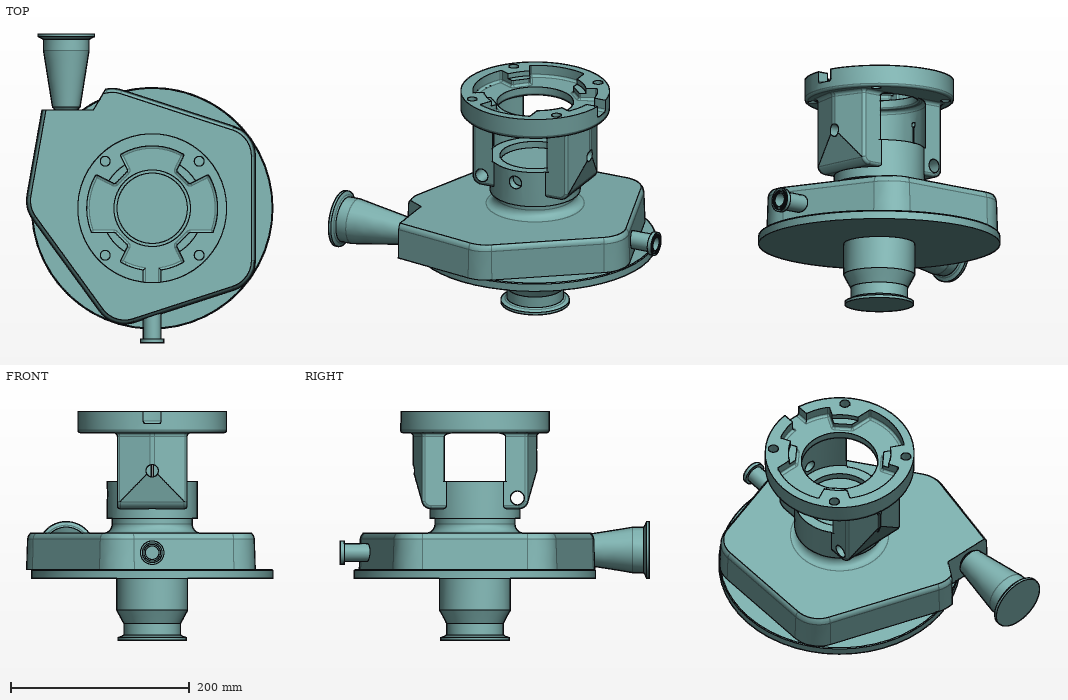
import cadquery as cq
import math

plate_top = 9.7
volute_top = 50.5
groove_bottom = 60.5
hub_bottom = 67.0
arm_bottom = 77.7
hub_top = 108.5
mount_bottom = 162.7
mount_top = 186.5

plate_radius = 135.0
plate_edge_chamfer = 1.0

volute_apothem = 115.5
volute_corner_radius = 35.0
trimmed_corner_radius = 9.7
volute_draft = 2
volute_bevel_height = 2.8
volute_bevel_width = 3.0
volute_bevel_radius = 9.0
outlet_face_y = 110.0
outlet_face_left_x = -123.5
crest_x = -42.5
shoulder_foot_x = -65.5
shoulder_head_x = -45
shoulder_angle = 60

rim_thickness = 3.0
rim_bevel = 1.7
collar_width = 2.0
collar_height = 1.5

inlet_end_z = -69.5
inlet_radius = 39.7
inlet_cone_top_z = -35.5
inlet_cone_bottom_z = -50.5
inlet_neck_radius = 31.8
inlet_rim_radius = 38.5

outlet_x = -96.0
outlet_end_y = 195.0
outlet_rim_radius = 31.8
outlet_neck_radius = 25.5
outlet_cone_start_y = 176.2
outlet_cone_end_y = 113.3
outlet_cone_small_radius = 15.5
outlet_throat_radius = 12.5

drain_end_y = -150.5
drain_z = 28.7
drain_radius = 10.0
drain_rim_radius = 13.0
drain_rim_thickness = 4.5
drain_bore_radius = 7.5
drain_bore_end_y = -124.5
drain_groove_inner_radius = 9.5
drain_groove_outer_radius = 11.0
drain_groove_depth = 1.0

hub_radius = 50.5
neck_radius = 45
hub_bore_radius = 39.5
hub_bore_depth = 7.5
hub_hole_depth = 10.5
hub_hole_radius = 7.5
hub_hole_z = 94.3

arm_half_width = 39.0
arm_inner_radius = 51.8
arm_ridge_y = 69
arm_ridge_half_width = 2.5
arm_side_y = 58.5
arm_apex_z = 120.2
arm_toe_y = 57.0
arm_toe_radius = 10.5
arm_edge_fillet = 3.5
arm_top_fillet = 4.0
front_hole_radius = 7
back_slot_width = 2.0
back_slot_bottom_z = 110.5
back_slot_top_z = 143.7
back_eye_radius = 2.8
side_hole_radius = 7.5
side_hole_y = 47.5
side_hole_z = 90

mount_radius = 83.3
mount_bore_radius = 43.0
mount_bore_fillet = 2.0
mount_edge_fillet = 3.0
pocket_side_radius = 73.2
pocket_end_radius = 69.8
pocket_depth = 13.5
pocket_floor_fillet = 2.8
lug_tip_distance = 48.7
lug_root_angle = 31
lug_tip_angle = 33
lower_lug_edge_y = -27.3
lug_edge_radius = 2.0
register_radius = 57.5
register_depth = 6.0
key_slot_half_width = 10.0
bolt_circle_radius = 74.3
bolt_hole_radius = 5.5

pick_margin = 0.5


def z_cylinder(radius, bottom, top):
    """Cylinder on the pump axis."""
    return cq.Workplane("XY", origin=(0, 0, bottom)).circle(radius).extrude(top - bottom)


def y_cylinder(radius, z, start_y, end_y):
    """Cylinder along +Y on the plane x = 0."""
    return cq.Workplane("XZ", origin=(0, start_y, z)).circle(radius).extrude(start_y - end_y)


def near_height(z, reach):
    """Selector for edges centred at height z and within reach of the axis in X and Y."""
    return cq.selectors.BoxSelector(
        (-reach, -reach, z - pick_margin),
        (reach, reach, z + pick_margin),
    )


def ferrule_profile(end, direction, rim_radius, pipe_radius):
    """Half-section points (radius, position) of a clamp ferrule, from the pipe end inwards."""
    rim_edge = end + direction * rim_thickness
    bevel_edge = rim_edge + direction * rim_bevel
    return [
        (0, end),
        (rim_radius, end),
        (rim_radius, rim_edge),
        (pipe_radius + collar_width, bevel_edge),
        (pipe_radius, bevel_edge + direction * collar_height),
    ]


def make_plate():
    return z_cylinder(plate_radius, 0, plate_top).faces(">Z").edges().chamfer(plate_edge_chamfer)


def make_volute():
    """Drafted casing with rounded corners, trimmed back to the outlet face."""
    corner_distance = volute_apothem / math.cos(math.radians(36))

    def corner(angle):
        turn = math.radians(angle)
        return (corner_distance * math.cos(turn), corner_distance * math.sin(turn))

    left = corner(180)
    wall_top_y = outlet_face_y + trimmed_corner_radius
    wall_lean = (outlet_face_left_x - left[0]) / outlet_face_y
    wall_top = (left[0] + wall_lean * wall_top_y, wall_top_y)
    normal = math.radians(72)
    crest = (crest_x, (volute_apothem - crest_x * math.cos(normal)) / math.sin(normal))

    outline = [corner(36), crest, wall_top, left, corner(252), corner(324)]
    trimmed_corner = cq.selectors.NearestToPointSelector((*wall_top, 0))
    sketch = (
        cq.Sketch()
        .polygon(outline + outline[:1])
        .vertices(-trimmed_corner)
        .fillet(volute_corner_radius)
        .reset()
        .vertices(trimmed_corner)
        .fillet(trimmed_corner_radius)
    )
    casing = (
        cq.Workplane("XY", origin=(0, 0, plate_top))
        .placeSketch(sketch)
        .extrude(volute_top - plate_top, taper=volute_draft)
        .faces(">Z")
        .edges()
        .chamfer(volute_bevel_height, volute_bevel_width)
        .edges(near_height(volute_top - volute_bevel_height, 2 * plate_radius))
        .fillet(volute_bevel_radius)
    )
    rise = (shoulder_head_x - shoulder_foot_x) * math.tan(math.radians(shoulder_angle))
    beyond_left_x = -plate_radius - inlet_radius
    shoulder = (
        cq.Workplane("XY")
        .moveTo(beyond_left_x, outlet_face_y)
        .lineTo(shoulder_foot_x, outlet_face_y)
        .lineTo(shoulder_head_x, outlet_face_y + rise)
        .lineTo(beyond_left_x, outlet_face_y + rise)
        .close()
        .extrude(mount_top)
    )
    return casing.cut(shoulder)


def make_inlet():
    section = ferrule_profile(inlet_end_z, 1, inlet_rim_radius, inlet_neck_radius) + [
        (inlet_neck_radius, inlet_cone_bottom_z),
        (inlet_radius, inlet_cone_top_z),
        (inlet_radius, plate_top),
        (0, plate_top),
    ]
    return cq.Workplane("XZ").polyline(section).close().revolve(360, (0, 0), (0, 1))


def make_outlet():
    root_y = outlet_face_y - outlet_throat_radius
    section = ferrule_profile(outlet_end_y, -1, outlet_rim_radius, outlet_neck_radius) + [
        (outlet_neck_radius, outlet_cone_start_y),
        (outlet_cone_small_radius, outlet_cone_end_y),
        (outlet_throat_radius, outlet_face_y),
        (outlet_throat_radius, root_y),
        (0, root_y),
    ]
    return (
        cq.Workplane("XY", origin=(outlet_x, 0, outlet_rim_radius))
        .polyline(section)
        .close()
        .revolve(360, (0, 0), (0, 1))
    )


def make_drain():
    rim = y_cylinder(drain_rim_radius, drain_z, drain_end_y, drain_end_y + drain_rim_thickness)
    pipe = y_cylinder(drain_radius, drain_z, drain_end_y, -volute_apothem + drain_radius)
    return rim.union(pipe)


def make_hub():
    """Hub above a narrower neck that flares out onto the volute."""
    flare = groove_bottom - volute_top
    return (
        cq.Workplane("XZ")
        .moveTo(0, plate_top)
        .lineTo(neck_radius + flare, plate_top)
        .lineTo(neck_radius + flare, volute_top)
        .radiusArc((neck_radius, groove_bottom), flare)
        .lineTo(neck_radius, hub_bottom)
        .lineTo(hub_radius, hub_bottom)
        .lineTo(hub_radius, hub_top)
        .lineTo(0, hub_top)
        .close()
        .revolve(360, (0, 0), (0, 1))
    )


def make_arm():
    """Arm on the +Y side: a V-faced column with a sloped, rounded toe."""
    half_plan = [
        (arm_half_width, 0),
        (arm_half_width, arm_side_y),
        (arm_ridge_half_width, arm_ridge_y),
    ]
    mirrored_plan = [(-x, y) for x, y in reversed(half_plan)]
    column = (
        cq.Workplane("XY", origin=(0, 0, arm_bottom))
        .polyline(half_plan + mirrored_plan)
        .close()
        .extrude(mount_bottom - arm_bottom)
    )
    for side in (-1, 1):
        column = column.edges(
            cq.selectors.NearestToPointSelector((side * arm_half_width, arm_side_y, hub_top))
        ).fillet(arm_edge_fillet)
    side_profile = (
        cq.Workplane("YZ", origin=(-arm_half_width, 0, 0))
        .moveTo(0, arm_bottom)
        .lineTo(arm_toe_y, arm_bottom)
        .lineTo(arm_ridge_y, arm_apex_z)
        .lineTo(arm_ridge_y, mount_bottom)
        .lineTo(0, mount_bottom)
        .close()
        .extrude(2 * arm_half_width)
        .edges(cq.selectors.NearestToPointSelector((0, arm_toe_y, arm_bottom)))
        .fillet(arm_toe_radius)
        .faces("<Z")
        .edges("|Y")
        .fillet(arm_edge_fillet)
    )
    hollow = z_cylinder(arm_inner_radius, hub_top, mount_bottom)
    return column.intersect(side_profile).cut(hollow)


def make_pocket():
    """Recess in the flange top that leaves four lugs standing, plus the key slot."""
    floor = mount_top - pocket_depth
    root = math.radians(lug_root_angle)
    tip = math.radians(lug_tip_angle)
    tip_reach = lug_tip_distance / math.cos(math.radians(45) - tip)
    tip_far = tip_reach * math.cos(tip)
    tip_near = tip_reach * math.sin(tip)
    lower_tip_x = tip_far + tip_near + lower_lug_edge_y

    def arc_x(y):
        return math.sqrt(pocket_side_radius**2 - y**2)

    side_y = pocket_side_radius * math.sin(root)
    end_x = pocket_end_radius * math.sin(root)
    end_y = pocket_end_radius * math.cos(root)
    pocket = (
        cq.Workplane("XY", origin=(0, 0, floor))
        .moveTo(-end_x, end_y)
        .threePointArc((0, pocket_end_radius), (end_x, end_y))
        .lineTo(tip_near, tip_far)
        .lineTo(tip_far, tip_near)
        .lineTo(arc_x(side_y), side_y)
        .threePointArc((pocket_side_radius, 0), (arc_x(lower_lug_edge_y), lower_lug_edge_y))
        .lineTo(lower_tip_x, lower_lug_edge_y)
        .lineTo(tip_near, -tip_far)
        .lineTo(end_x, -end_y)
        .threePointArc((0, -pocket_end_radius), (-end_x, -end_y))
        .lineTo(-tip_near, -tip_far)
        .lineTo(-lower_tip_x, lower_lug_edge_y)
        .lineTo(-arc_x(lower_lug_edge_y), lower_lug_edge_y)
        .threePointArc((-pocket_side_radius, 0), (-arc_x(side_y), side_y))
        .lineTo(-tip_far, tip_near)
        .lineTo(-tip_near, tip_far)
        .close()
        .extrude(pocket_depth)
    )
    key_slot = (
        cq.Workplane("XY", origin=(0, -mount_radius, floor))
        .rect(2 * key_slot_half_width, 2 * (mount_radius - lug_tip_distance))
        .extrude(pocket_depth)
    )
    pocket = pocket.edges("|Z").fillet(lug_edge_radius)
    pocket = pocket.union(key_slot)
    pocket = pocket.faces("<Z").edges().fillet(pocket_floor_fillet)
    return pocket.union(z_cylinder(register_radius, mount_top - register_depth, mount_top))


def make_head():
    """Mounting flange with its two arms."""
    arm = make_arm()
    head = z_cylinder(mount_radius, mount_bottom, mount_top)
    head = head.faces("<Z").edges().fillet(mount_edge_fillet)
    head = head.union(arm).union(arm.rotate((0, 0, 0), (0, 0, 1), 180))
    head = head.edges(near_height(mount_bottom, arm_ridge_y + 3.5)).fillet(arm_top_fillet)
    bolt_holes = (
        cq.Workplane("XY", origin=(0, 0, mount_bottom))
        .polarArray(bolt_circle_radius, 45, 360, 4)
        .circle(bolt_hole_radius)
        .extrude(mount_top - mount_bottom)
    )
    bore = z_cylinder(mount_bore_radius, mount_bottom, mount_top)
    head = head.cut(make_pocket()).cut(bolt_holes).cut(bore)
    return head.edges("%CIRCLE").edges(near_height(mount_bottom, 3.5)).fillet(mount_bore_fillet)


def make_drillings():
    """Bores, holes and slots cut into the joined body."""
    hub_bore = z_cylinder(hub_bore_radius, hub_top - hub_bore_depth, hub_top)
    hub_hole = (
        cq.Workplane("YZ", origin=(-hub_radius, 0, 0))
        .center(0, hub_hole_z)
        .circle(hub_hole_radius)
        .extrude(hub_hole_depth)
    )
    side_hole = (
        cq.Workplane("YZ", origin=(-arm_half_width, 0, 0))
        .center(side_hole_y, side_hole_z)
        .circle(side_hole_radius)
        .extrude(2 * arm_half_width)
    )
    slot_length = back_slot_top_z - back_slot_bottom_z
    back_slot = (
        cq.Workplane("XZ", origin=(0, arm_ridge_y, back_slot_bottom_z + slot_length / 2))
        .slot2D(slot_length, back_slot_width, 90)
        .extrude(arm_ridge_y)
    )
    back_eye = y_cylinder(back_eye_radius, back_slot_top_z, 0, arm_ridge_y)
    front_hole = y_cylinder(front_hole_radius, arm_apex_z, -arm_ridge_y, 0)
    drain_bore = y_cylinder(drain_bore_radius, drain_z, drain_end_y, drain_bore_end_y)
    groove_end_y = drain_end_y + drain_groove_depth
    drain_groove = y_cylinder(drain_groove_outer_radius, drain_z, drain_end_y, groove_end_y).cut(
        y_cylinder(drain_groove_inner_radius, drain_z, drain_end_y, groove_end_y)
    )
    return [drain_groove, hub_bore, hub_hole, side_hole, back_slot, back_eye, front_hole, drain_bore]


result = make_plate()
for part in (make_volute(), make_inlet(), make_outlet(), make_drain(), make_hub(), make_head()):
    result = result.union(part)
for drilling in make_drillings():
    result = result.cut(drilling)